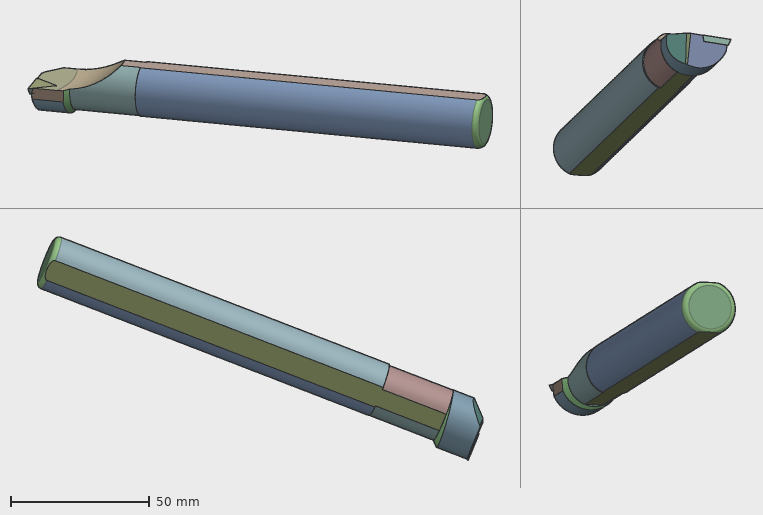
import cadquery as cq
import math

TOTAL_LENGTH = 170.0
SHANK_DIAMETER = 20.0
SHANK_START = 40.0
FLAT_SPACING = 18.4
END_FILLET = 2.0

NECK_RADIUS = 19.5 / 2
NECK_OFFSET = -0.2
HEAD_RADIUS = 10.9
HEAD_OFFSET = -1.2
HEAD_END = 15.0
SIDE_FLAT_Y = -11.7
SIDE_FLAT_LEAN = 7.0

FRONT_X = 0.5
FRONT_LEAN = 8.0
CORNER_LEAN = 6.5
FACET_POINTS = [(FRONT_X, 2.4), (1.0, 3.7)]

TIP_Y = -12.7
RAKE_ANGLE = 5.3
SCOOP_AXIS_X = -14.5
SCOOP_FLAT_RADIUS = 27.7
SCOOP_FILLET = 26.7
SCOOP_HEIGHT = 20.4

INSERT_SIDE = 10.7
INSERT_THICKNESS = 2.2
INSERT_CLEARANCE = 11.0

CUT_SIZE = 51.0


def cylinder_x(radius, start, end, y):
    return cq.Workplane("YZ", origin=(start, y, 0)).circle(radius).extrude(end - start)


def tilt_to_rake(shape):
    """Tilt a shape built on the plane Z = 0 onto the rake plane."""
    return shape.rotate((0, TIP_Y, 0), (1, TIP_Y, 0), RAKE_ANGLE)


def make_shank():
    return cylinder_x(SHANK_DIAMETER / 2, SHANK_START, TOTAL_LENGTH, 0).faces(">X").edges().fillet(END_FILLET)


def make_head():
    """Head cylinder with a side flat, ending in a cone coaxial with the neck."""
    head = cylinder_x(HEAD_RADIUS, 0, HEAD_END, HEAD_OFFSET)
    cone = (
        cq.Workplane("XY")
        .polyline([(0, 0), (0, NECK_RADIUS + HEAD_END), (HEAD_END, NECK_RADIUS), (HEAD_END, 0)])
        .close()
        .revolve(360, (0, 0), (1, 0))
        .translate((0, NECK_OFFSET, 0))
    )
    side_flat = cq.Workplane("XY").box(
        CUT_SIZE, CUT_SIZE, CUT_SIZE).translate((0, SIDE_FLAT_Y - CUT_SIZE / 2, 0))
    side_flat = side_flat.rotate((0, SIDE_FLAT_Y, 0), (1, SIDE_FLAT_Y, 0), SIDE_FLAT_LEAN)
    return head.intersect(cone).cut(side_flat)


def make_front_cutter():
    """Space ahead of the leaning front face."""
    block = cq.Workplane("XY").box(CUT_SIZE, CUT_SIZE, CUT_SIZE).translate((FRONT_X - CUT_SIZE / 2, 0, 0))
    return block.rotate((FRONT_X, 0, 0), (FRONT_X, 1, 0), -FRONT_LEAN)


def make_corner_cutter():
    """Space outside the small facet and the 45 degree corner cut."""
    (front_x, front_y), (corner_x, corner_y) = FACET_POINTS
    reach = HEAD_RADIUS
    facet_slope = (corner_x - front_x) / (corner_y - front_y)
    outline = [
        (front_x - reach * facet_slope, front_y - reach),
        (corner_x, corner_y),
        (corner_x + reach, corner_y + reach),
        (front_x - reach * facet_slope, corner_y + reach),
    ]
    prism = cq.Workplane("XY").polyline(outline).close().extrude(CUT_SIZE / 2, both=True)
    return prism.rotate((front_x, 0, 0), (front_x, 1, 0), -CORNER_LEAN)


def make_scoop():
    """Disc with a filleted lower rim, removed to leave the rake plane and its run-out."""
    rise_angle = math.acos(1 - SCOOP_HEIGHT / SCOOP_FILLET)

    def rim_point(angle):
        return (
            SCOOP_FLAT_RADIUS + SCOOP_FILLET * math.sin(angle),
            SCOOP_FILLET * (1 - math.cos(angle)),
        )

    disc = (
        cq.Workplane("XZ")
        .lineTo(SCOOP_FLAT_RADIUS, 0)
        .threePointArc(rim_point(rise_angle / 2), rim_point(rise_angle))
        .lineTo(0, SCOOP_HEIGHT)
        .close()
        .revolve(360, (0, 0), (0, 1))
        .translate((SCOOP_AXIS_X, 0, 0))
    )
    return tilt_to_rake(disc)


def make_insert():
    """Cutting insert with its top on the rake plane and one edge along the front."""
    inset = INSERT_THICKNESS * math.tan(math.radians(INSERT_CLEARANCE))
    depth = INSERT_SIDE * math.sqrt(3) / 2
    middle_y = TIP_Y + INSERT_SIDE / 2

    def triangle(inward):
        half_side = INSERT_SIDE / 2 - inward * math.sqrt(3)
        return [
            (inward, middle_y - half_side),
            (depth - 2 * inward, middle_y),
            (inward, middle_y + half_side),
        ]

    insert = (
        cq.Workplane("XY")
        .polyline(triangle(0))
        .close()
        .workplane(offset=-INSERT_THICKNESS)
        .polyline(triangle(inset))
        .close()
        .loft(ruled=True)
    )
    return tilt_to_rake(insert)


def make_bar(insert):
    """Boring bar with a pocket that matches the insert."""
    neck = cylinder_x(NECK_RADIUS, 0, SHANK_START, NECK_OFFSET)
    between_flats = cq.Workplane("XY").box(
        TOTAL_LENGTH, CUT_SIZE, FLAT_SPACING, centered=(False, True, True))
    neck_and_shank = neck.union(make_shank()).intersect(between_flats)
    bar = neck_and_shank.union(make_head())
    for cutter in (make_front_cutter(), make_corner_cutter(), make_scoop(), insert):
        bar = bar.cut(cutter)
    return bar


cutting_insert = make_insert()
boring_bar = make_bar(cutting_insert)

result = cq.Compound.makeCompound([boring_bar.val(), cutting_insert.val()])